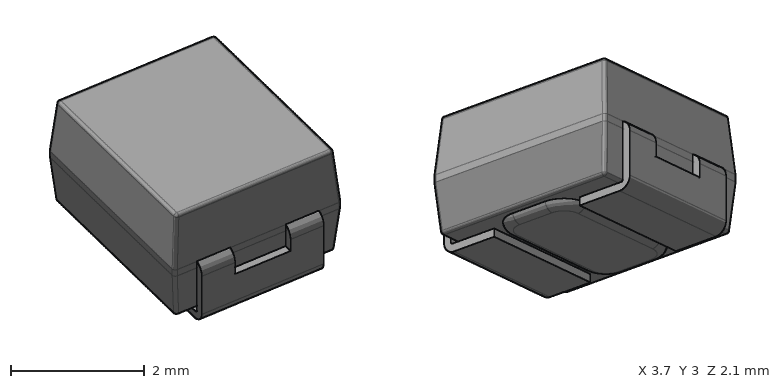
import cadquery as cq
import math

LENGTH = 3.7
HEIGHT = 2.1

LEAD_THICKNESS = 0.137
LEAD_WIDTH = 2.183
LEAD_OUTER_RADIUS = 0.2
LEAD_INNER_RADIUS = 0.037
FOOT_LENGTH = 1.0
LEAD_SHOULDER = 0.935
NOTCH_WIDTH = 0.99
NOTCH_FLOOR = 0.705

BODY_LENGTH = LENGTH - 2 * LEAD_THICKNESS
BODY_WIDTH = 3.0
BODY_BOTTOM = 0.163
BAND_BOTTOM = 1.005
BAND_TOP = 1.13
DRAFT_ANGLE = 5.0
EDGE_RADIUS = 0.055

PAD_LENGTH = 1.51
PAD_WIDTH = 2.553
PAD_BOTTOM = 0.035
PAD_CORNER_RADIUS = 0.433
PAD_EDGE_RADIUS = 0.155


def drafted_block(base_height, height):
    """Rectangular block that narrows away from the band; a negative height goes down."""
    inset = abs(height) * math.tan(math.radians(DRAFT_ANGLE))
    return (
        cq.Workplane("XY", origin=(0, 0, base_height))
        .rect(BODY_LENGTH, BODY_WIDTH)
        .workplane(offset=height)
        .rect(BODY_LENGTH - 2 * inset, BODY_WIDTH - 2 * inset)
        .loft(ruled=True)
    )


def make_pad():
    """Rounded rectangle on the underside, rooted inside the housing, with its lower rim rounded over."""
    return (
        cq.Workplane("XY", origin=(0, 0, PAD_BOTTOM))
        .rect(PAD_LENGTH, PAD_WIDTH)
        .extrude(BAND_BOTTOM - PAD_BOTTOM)
        .edges("|Z")
        .fillet(PAD_CORNER_RADIUS)
        .faces("<Z")
        .edges()
        .fillet(PAD_EDGE_RADIUS)
    )


def make_housing():
    band = (
        cq.Workplane("XY", origin=(0, 0, BAND_BOTTOM))
        .rect(BODY_LENGTH, BODY_WIDTH)
        .extrude(BAND_TOP - BAND_BOTTOM)
    )
    upper = drafted_block(BAND_TOP, HEIGHT - BAND_TOP)
    lower = drafted_block(BAND_BOTTOM, BODY_BOTTOM - BAND_BOTTOM)
    block = band.union(upper).union(lower)
    rounded = block.edges("(not #Z) or >Z or <Z").fillet(EDGE_RADIUS)
    return rounded.union(make_pad())


def make_lead(side):
    """Bent strip lying against one end of the housing; side is -1 or +1 along X."""
    outer = side * LENGTH / 2
    inner = side * BODY_LENGTH / 2
    foot_end = outer - side * FOOT_LENGTH
    bend_center = outer - side * LEAD_OUTER_RADIUS
    diagonal = LEAD_OUTER_RADIUS * math.sqrt(0.5)
    reach = abs(inner - bend_center)
    contact_height = LEAD_SHOULDER + math.sqrt(LEAD_OUTER_RADIUS**2 - reach**2)
    half_angle = math.acos(reach / LEAD_OUTER_RADIUS) / 2
    upper_middle = (
        bend_center + side * LEAD_OUTER_RADIUS * math.cos(half_angle),
        LEAD_SHOULDER + LEAD_OUTER_RADIUS * math.sin(half_angle),
    )
    lower_middle = (bend_center + side * diagonal, LEAD_OUTER_RADIUS - diagonal)
    inner_center = (inner - side * LEAD_INNER_RADIUS, LEAD_THICKNESS + LEAD_INNER_RADIUS)
    inner_diagonal = LEAD_INNER_RADIUS * math.sqrt(0.5)
    inner_middle = (inner_center[0] + side * inner_diagonal, inner_center[1] - inner_diagonal)

    strip = (
        cq.Workplane("XZ")
        .moveTo(inner, contact_height)
        .threePointArc(upper_middle, (outer, LEAD_SHOULDER))
        .lineTo(outer, LEAD_OUTER_RADIUS)
        .threePointArc(lower_middle, (bend_center, 0))
        .lineTo(foot_end, 0)
        .lineTo(foot_end, LEAD_THICKNESS)
        .lineTo(inner_center[0], LEAD_THICKNESS)
        .threePointArc(inner_middle, (inner, inner_center[1]))
        .close()
        .extrude(LEAD_WIDTH / 2, both=True)
    )
    notch = cq.Workplane("XY", origin=((outer + inner) / 2, 0, NOTCH_FLOOR)).box(
        2 * LEAD_THICKNESS, NOTCH_WIDTH, HEIGHT, centered=(True, True, False)
    )
    return strip.cut(notch)


housing = make_housing()
leads = [make_lead(side) for side in (-1, 1)]

result = cq.Compound.makeCompound([housing.val(), *[lead.val() for lead in leads]])